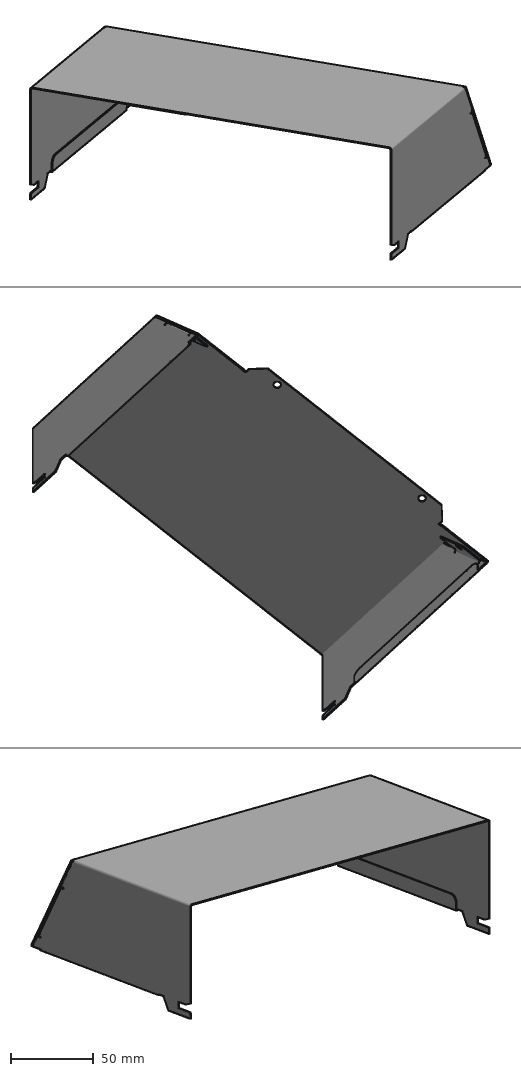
import cadquery as cq
import math


WIDTH = 239.0
DEPTH = 156.83
HEIGHT = 73.0

THICKNESS = 0.8
INNER_RADIUS = 1.0
OUTER_RADIUS = INNER_RADIUS + THICKNESS
BEND_OVERLAP = 2 * INNER_RADIUS + 2 * THICKNESS

SLOPE = math.radians(60)
WALL_BOTTOM = 8.0
FLANGE_DEPTH = 10.0
PANEL_CORNER_RADIUS = 1.0
PANEL_GAP = 0.4

FLANGE_WIDTH = 159.0
FLANGE_BOTTOM = WALL_BOTTOM
FLANGE_CHAMFER = 8.0
FLANGE_RELIEF_WIDTH = 2.0
FLANGE_HOLE_SPACING = 119.0
FLANGE_HOLE_INSET = 4.5
HOLE_DIAMETER = 4.5

TAB_START = 11.0
TAB_LENGTH = 42.0
TAB_REACH = 15.0
TAB_CORNER_RADIUS = 3.0
TAB_RELIEF_WIDTH = 0.4
TAB_RELIEF_DEPTH = 0.6
TAB_HOLE_SPACING = 219.0
TAB_HOLE_ALONG_SLOPE = 28.8

HOOK_LENGTH = 20.0
HOOK_SLOT_BOTTOM = 4.0
HOOK_SLOT_DEPTH = 10.8
HOOK_TIP_RADIUS = 1.0
LEAD_IN_LENGTH = 4.0
LEAD_IN_RISE = 1.7

HEM_START = 29.3
HEM_LENGTH = 109.0
HEM_HEIGHT = 9.0
HEM_GAP = 0.2
HEM_CORNER_RADIUS = 5.0

HALF_WIDTH = WIDTH / 2
PANEL_FOOT_Y = DEPTH - FLANGE_DEPTH
FLANGE_TOP = FLANGE_BOTTOM + THICKNESS
TAB_OUTER_FACE = -(THICKNESS + PANEL_GAP)
TAB_BEND_END = TAB_OUTER_FACE - OUTER_RADIUS
PANEL_PLANE = cq.Plane(
    origin=(0, PANEL_FOOT_Y, WALL_BOTTOM),
    xDir=(-1, 0, 0),
    normal=(0, math.sin(SLOPE), math.cos(SLOPE)),
)


def panel_y(z, inset=0.0):
    """Y of the panel's outer face, or of a plane set in from it, at height z."""
    return PANEL_FOOT_Y - (z - WALL_BOTTOM) / math.tan(SLOPE) - inset / math.sin(SLOPE)


def extrude_across(points, width):
    """Extrude a Y-Z outline symmetrically along X."""
    return cq.Workplane("YZ").polyline(points).close().extrude(width / 2, both=True)


def fillet_bend(sheet, inside, outside):
    """Round both faces of a bend, given the (y, z) of its sharp corners."""
    for (y, z), radius in ((inside, INNER_RADIUS), (outside, OUTER_RADIUS)):
        sheet = sheet.edges(cq.NearestToPointSelector((0, y, z))).fillet(radius)
    return sheet


def outer_envelope():
    """Solid block with the two long top edges rounded like the side bends."""
    block = cq.Workplane("XY").box(WIDTH, DEPTH, HEIGHT, centered=(True, False, False))
    return block.edges("|Y and >Z").fillet(OUTER_RADIUS)


def channel():
    """Top and side walls with hooks, stopping just short of the sloped panel."""
    inside = (
        cq.Workplane("XY")
        .box(WIDTH - 2 * THICKNESS, DEPTH, HEIGHT - THICKNESS, centered=(True, False, False))
        .edges("|Y and >Z")
        .fillet(INNER_RADIUS)
    )
    setback = THICKNESS + PANEL_GAP
    outline = [
        (0, HEIGHT),
        (0, WALL_BOTTOM + LEAD_IN_RISE),
        (LEAD_IN_LENGTH, WALL_BOTTOM),
        (HOOK_SLOT_DEPTH, WALL_BOTTOM),
        (HOOK_SLOT_DEPTH, HOOK_SLOT_BOTTOM),
        (0, HOOK_SLOT_BOTTOM),
        (0, 0),
        (HOOK_LENGTH, 0),
        (HOOK_LENGTH + WALL_BOTTOM / math.tan(SLOPE), WALL_BOTTOM),
        (panel_y(WALL_BOTTOM, setback), WALL_BOTTOM),
        (panel_y(HEIGHT, setback), HEIGHT),
    ]
    side_profile = extrude_across(outline, WIDTH)
    side_profile = side_profile.edges(
        cq.NearestToPointSelector((0, 0, HOOK_SLOT_BOTTOM))
    ).fillet(HOOK_TIP_RADIUS)
    return outer_envelope().cut(inside).intersect(side_profile)


def rear_panel():
    """Top strip bent down into the full-width sloped panel, cut square at its foot."""
    top_bottom = HEIGHT - THICKNESS
    outer_corner = (panel_y(HEIGHT), HEIGHT)
    inner_corner = (panel_y(top_bottom, THICKNESS), top_bottom)
    strip_start = inner_corner[0] - BEND_OVERLAP
    foot_inner = (
        PANEL_FOOT_Y - THICKNESS * math.sin(SLOPE),
        WALL_BOTTOM - THICKNESS * math.cos(SLOPE),
    )
    outline = [
        (strip_start, HEIGHT),
        outer_corner,
        (PANEL_FOOT_Y, WALL_BOTTOM),
        foot_inner,
        inner_corner,
        (strip_start, top_bottom),
    ]
    panel = fillet_bend(extrude_across(outline, WIDTH), inner_corner, outer_corner)
    panel = panel.intersect(outer_envelope())
    foot_middle_y = (PANEL_FOOT_Y + foot_inner[0]) / 2
    foot_middle_z = (WALL_BOTTOM + foot_inner[1]) / 2
    for side in (-1, 1):
        foot_corner = (side * HALF_WIDTH, foot_middle_y, foot_middle_z)
        panel = panel.edges(cq.NearestToPointSelector(foot_corner)).fillet(PANEL_CORNER_RADIUS)
    return panel


def flange_bend_top():
    """Height where the bend between flange and panel runs out into the panel."""
    return FLANGE_TOP + INNER_RADIUS * math.tan(SLOPE / 2) * math.sin(SLOPE)


def flange_clearance():
    """Block that clears the panel's foot for the flange and its end reliefs."""
    width = FLANGE_WIDTH + 2 * FLANGE_RELIEF_WIDTH
    block = cq.Workplane("XY").box(width, DEPTH, flange_bend_top(), centered=(True, False, False))
    return block.translate((0, panel_y(HEIGHT), 0))


def rear_flange():
    """Flange bent outward from the panel's foot, with chamfered corners and two holes."""
    inside_corner = (panel_y(FLANGE_TOP), FLANGE_TOP)
    outside_corner = (panel_y(FLANGE_BOTTOM, THICKNESS), FLANGE_BOTTOM)
    strip_top = FLANGE_TOP + BEND_OVERLAP
    outline = [
        (DEPTH, FLANGE_BOTTOM),
        (DEPTH, FLANGE_TOP),
        inside_corner,
        (panel_y(strip_top), strip_top),
        (panel_y(strip_top, THICKNESS), strip_top),
        outside_corner,
    ]
    flange = fillet_bend(extrude_across(outline, FLANGE_WIDTH), inside_corner, outside_corner)
    flange = flange.edges("|Z and >Y").chamfer(FLANGE_CHAMFER)
    hole_y = DEPTH - FLANGE_HOLE_INSET
    holes = (
        cq.Workplane("XY")
        .pushPoints([(side * FLANGE_HOLE_SPACING / 2, hole_y) for side in (-1, 1)])
        .circle(HOLE_DIAMETER / 2)
        .extrude(HEIGHT)
    )
    return flange.cut(holes)


def tab_clearance():
    """Block that trims both walls back to the tab bends, with a relief at each tab end."""
    length = TAB_LENGTH + 2 * TAB_RELIEF_WIDTH
    depth = TAB_RELIEF_DEPTH - TAB_BEND_END
    start = PANEL_PLANE.yDir * (TAB_START - TAB_RELIEF_WIDTH) - PANEL_PLANE.zDir * depth
    block = cq.Workplane(PANEL_PLANE).box(WIDTH, length, depth, centered=(True, False, False))
    return block.translate(start)


def tab(side):
    """Tab folded inward from one side wall, lying behind the sloped panel."""
    wall_outer = side * HALF_WIDTH
    wall_inner = side * (HALF_WIDTH - THICKNESS)
    free_end = side * (HALF_WIDTH - TAB_REACH)
    inner_face = TAB_OUTER_FACE - THICKNESS
    wall_end = TAB_BEND_END - TAB_RELIEF_DEPTH
    outline = [
        (free_end, TAB_OUTER_FACE),
        (wall_outer, TAB_OUTER_FACE),
        (wall_outer, wall_end),
        (wall_inner, wall_end),
        (wall_inner, inner_face),
        (free_end, inner_face),
    ]
    middle = TAB_LENGTH / 2
    plate = cq.Workplane("XZ").polyline(outline).close().extrude(-TAB_LENGTH)
    for corner, radius in (
        ((wall_inner, middle, inner_face), INNER_RADIUS),
        ((wall_outer, middle, TAB_OUTER_FACE), OUTER_RADIUS),
    ):
        plate = plate.edges(cq.NearestToPointSelector(corner)).fillet(radius)
    free_edge = "<X" if side > 0 else ">X"
    plate = plate.edges("|Z").edges(free_edge).fillet(TAB_CORNER_RADIUS)
    placed = plate.translate((0, TAB_START, 0)).val().moved(cq.Location(PANEL_PLANE))
    return cq.Workplane(placed)


def tab_holes():
    """Holes through the sloped panel and the tabs behind it."""
    return (
        cq.Workplane(PANEL_PLANE)
        .pushPoints([(side * TAB_HOLE_SPACING / 2, TAB_HOLE_ALONG_SLOPE) for side in (-1, 1)])
        .circle(HOLE_DIAMETER / 2)
        .extrude(2 * TAB_BEND_END)
    )


def hem(side):
    """Hem: a half-round fold under the wall and a leaf folded up close to its inner face."""
    wall_inner = side * (HALF_WIDTH - THICKNESS)
    fold_inner = HEM_GAP / 2
    fold_outer = fold_inner + THICKNESS
    fold_origin = (wall_inner - side * fold_inner, HEM_START, WALL_BOTTOM)
    leaf = (
        cq.Workplane("YZ", origin=(wall_inner - side * HEM_GAP, HEM_START, WALL_BOTTOM))
        .rect(HEM_LENGTH, HEM_HEIGHT, centered=False)
        .extrude(-side * THICKNESS)
        .edges("|X and >Z")
        .fillet(HEM_CORNER_RADIUS)
    )
    fold = (
        cq.Workplane("XZ", origin=fold_origin)
        .moveTo(-fold_outer, 0)
        .threePointArc((0, -fold_outer), (fold_outer, 0))
        .lineTo(fold_inner, 0)
        .threePointArc((0, -fold_inner), (-fold_inner, 0))
        .close()
        .extrude(-HEM_LENGTH)
    )
    return leaf.union(fold)


result = channel().cut(tab_clearance())
result = result.union(rear_panel().cut(flange_clearance()))
result = result.union(rear_flange())
for wall_side in (-1, 1):
    result = result.union(tab(wall_side)).union(hem(wall_side))
result = result.cut(tab_holes())